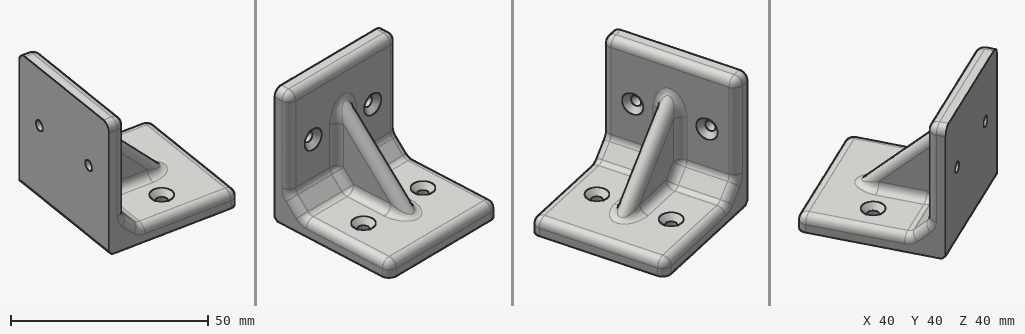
import cadquery as cq

size = 40.0
plate = 5.0
web_leg = 5.0
outer_chamfer = 1.0
rounding = 2.5
rib_width = 2 * rounding
rib_leg = 25.0
hole_diameter = 3.0
countersink_diameter = 6.3
countersink_angle = 90.0
hole_spacing = 22.0
hole_offset = 22.5

web_reach = plate + web_leg
rib_reach = plate + rib_leg
selection_margin = 0.1


def edges_in(half_width, y_range, z_range):
    """Select edges centred in a region symmetric about X = 0, slightly enlarged."""
    return cq.selectors.BoxSelector(
        (-half_width - selection_margin, y_range[0] - selection_margin, z_range[0] - selection_margin),
        (half_width + selection_margin, y_range[1] + selection_margin, z_range[1] + selection_margin),
    )


def make_plates():
    """Floor and wall with a 45 degree web, rounded corners and a rounded inner rim."""
    outline = [
        (outer_chamfer, 0),
        (size, 0),
        (size, plate),
        (web_reach, plate),
        (plate, web_reach),
        (plate, size),
        (0, size),
        (0, outer_chamfer),
    ]
    plates = cq.Workplane("YZ").polyline(outline).close().extrude(size / 2, both=True)

    plates = plates.faces(">Y").edges("|Z").fillet(rounding)
    plates = plates.faces(">Z").edges("|Y").fillet(rounding)

    web_range = (plate, web_reach)
    plates = plates.edges(edges_in(size / 2, web_range, web_range)).edges("|X").fillet(rounding)

    floor_edge = cq.selectors.NearestToPointSelector((size / 2, size / 2, plate))
    return plates.edges(floor_edge).fillet(rounding)


def make_rib():
    """45 degree rib with a full-round crest, rooted inside the two plates."""
    crest_middle = (plate + rib_reach) / 2
    half_width = rib_width / 2

    section_plane = cq.Plane(origin=(0, crest_middle, crest_middle), xDir=(1, 0, 0), normal=(0, 1, -1))
    bar = (
        cq.Workplane(section_plane)
        .moveTo(-half_width, size)
        .lineTo(-half_width, half_width)
        .threePointArc((0, 0), (half_width, half_width))
        .lineTo(half_width, size)
        .close()
        .extrude(size, both=True)
    )
    root = plate / 2
    block_side = size - plate
    corner_block = cq.Workplane("XY", origin=(0, root, root))
    corner_block = corner_block.box(rib_width, block_side, block_side, centered=(True, False, False))
    return bar.intersect(corner_block)


def add_rib(body):
    """Join the rib and blend its whole outline into the plates and the web."""
    ribbed = body.union(make_rib())
    near = (plate, web_reach + rounding)
    along = (plate, rib_reach)
    outline = ribbed.edges(edges_in(rib_width / 2, along, near) + edges_in(rib_width / 2, near, along))
    return outline.fillet(rounding)


def drill_holes(body, face_centre, face_normal):
    """Drill two countersunk holes through one plate, starting from its inner face."""
    hole_plane = cq.Plane(origin=face_centre, xDir=(1, 0, 0), normal=face_normal)
    half_spacing = hole_spacing / 2
    return (
        body.copyWorkplane(cq.Workplane(hole_plane))
        .pushPoints([(-half_spacing, 0), (half_spacing, 0)])
        .cskHole(hole_diameter, countersink_diameter, countersink_angle, depth=plate)
    )


ribbed_bracket = add_rib(make_plates())
floor_drilled = drill_holes(ribbed_bracket, (0, hole_offset, plate), (0, 0, 1))
result = drill_holes(floor_drilled, (0, plate, hole_offset), (0, 1, 0)).solids()